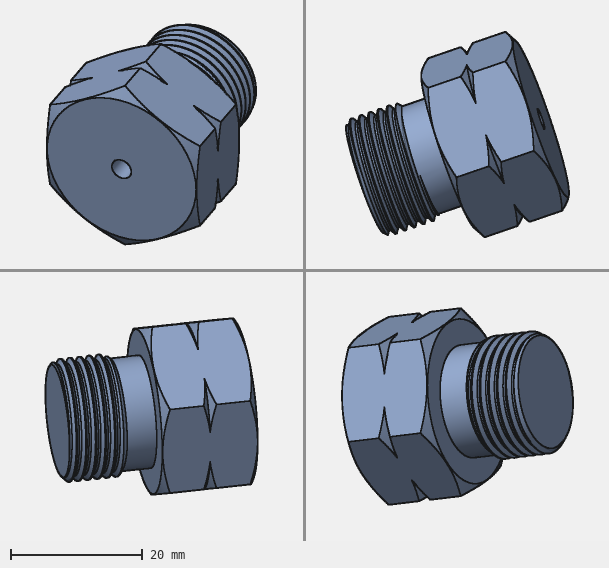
import cadquery as cq
import math

ACROSS_CORNERS = 29.33
CORNER_RADIUS = ACROSS_CORNERS / 2
HEAD_LENGTH = 14.87
FACE_RADIUS = 12.6
GROOVE_RADIUS = 12.95
CHAMFER_ANGLE = 30.0

TOTAL_LENGTH = 28.45
SHANK_RADIUS = 8.65
NECK_LENGTH = 4.58

THREAD_RADIUS = 9.41
THREAD_PITCH = 1.5
CREST_WIDTH = 0.18
ROOT_WIDTH = 0.35
ROOT_OVERLAP = 0.15
CREST_OFFSET = 0.97

HOLE_RADIUS = 1.65
HOLE_DEPTH = 5.87
DRILL_POINT_ANGLE = 118.0

THREAD_START = HEAD_LENGTH + NECK_LENGTH
THREAD_LENGTH = TOTAL_LENGTH - THREAD_START


def revolve_about_y(outline):
    """Turn a closed outline of (radius, y) points around the Y axis."""
    return cq.Workplane("XY").polyline(outline).close().revolve(360, (0, 0, 0), (0, 1, 0))


def make_head():
    """Hexagonal bar trimmed by a turned profile: chamfered ends and a V groove."""
    corner_angles = [i * math.pi / 3 for i in range(6)]
    hexagon = [(CORNER_RADIUS * math.sin(a), CORNER_RADIUS * math.cos(a)) for a in corner_angles]
    bar = cq.Workplane("XZ").polyline(hexagon).close().extrude(-HEAD_LENGTH)

    slope = math.tan(math.radians(CHAMFER_ANGLE))
    chamfer_length = (CORNER_RADIUS - FACE_RADIUS) * slope
    groove_half_width = (CORNER_RADIUS - GROOVE_RADIUS) * slope
    middle = HEAD_LENGTH / 2
    turned = revolve_about_y([
        (0, 0),
        (FACE_RADIUS, 0),
        (CORNER_RADIUS, chamfer_length),
        (CORNER_RADIUS, middle - groove_half_width),
        (GROOVE_RADIUS, middle),
        (CORNER_RADIUS, middle + groove_half_width),
        (CORNER_RADIUS, HEAD_LENGTH - chamfer_length),
        (FACE_RADIUS, HEAD_LENGTH),
        (0, HEAD_LENGTH),
    ])
    return bar.intersect(turned)


def make_shank():
    """Plain cylinder from the front of the head to the end of the thread."""
    return cq.Workplane("XZ").circle(SHANK_RADIUS).extrude(-TOTAL_LENGTH)


def make_thread():
    """Helical ridge, trimmed to the thread length with 45 degree run-outs at both ends."""
    flank_slope = (THREAD_PITCH - ROOT_WIDTH - CREST_WIDTH) / 2 / (THREAD_RADIUS - SHANK_RADIUS)
    inner_radius = SHANK_RADIUS - ROOT_OVERLAP
    crest_half = CREST_WIDTH / 2
    base_half = crest_half + flank_slope * (THREAD_RADIUS - inner_radius)

    extra_turns = 2
    turns = math.ceil(THREAD_LENGTH / THREAD_PITCH) + 2 * extra_turns
    helix = cq.Wire.makeHelix(THREAD_PITCH, turns * THREAD_PITCH, inner_radius, lefthand=True)
    ridge = (
        cq.Workplane("XZ")
        .polyline([
            (inner_radius, -base_half),
            (THREAD_RADIUS, -crest_half),
            (THREAD_RADIUS, crest_half),
            (inner_radius, base_half),
        ])
        .close()
        .sweep(cq.Workplane(helix), isFrenet=True)
    )
    first_crest = TOTAL_LENGTH - CREST_OFFSET
    start = first_crest + extra_turns * THREAD_PITCH - turns * THREAD_PITCH
    ridge = (
        ridge.rotate((0, 0, 0), (1, 0, 0), -90)
        .rotate((0, 0, 0), (0, 1, 0), 180)
        .translate((0, start, 0))
    )

    clearance = 0.3
    run_out = THREAD_RADIUS + clearance - SHANK_RADIUS
    envelope = revolve_about_y([
        (0, THREAD_START),
        (SHANK_RADIUS, THREAD_START),
        (SHANK_RADIUS + run_out, THREAD_START + run_out),
        (SHANK_RADIUS + run_out, TOTAL_LENGTH - run_out),
        (SHANK_RADIUS, TOTAL_LENGTH),
        (0, TOTAL_LENGTH),
    ])
    return ridge.intersect(envelope)


def make_hole():
    """Drilled hole on the axis, ending in a conical point."""
    point_length = HOLE_RADIUS / math.tan(math.radians(DRILL_POINT_ANGLE / 2))
    return revolve_about_y([
        (0, 0),
        (HOLE_RADIUS, 0),
        (HOLE_RADIUS, HOLE_DEPTH),
        (0, HOLE_DEPTH + point_length),
    ])


result = make_head().union(make_shank()).union(make_thread()).cut(make_hole())